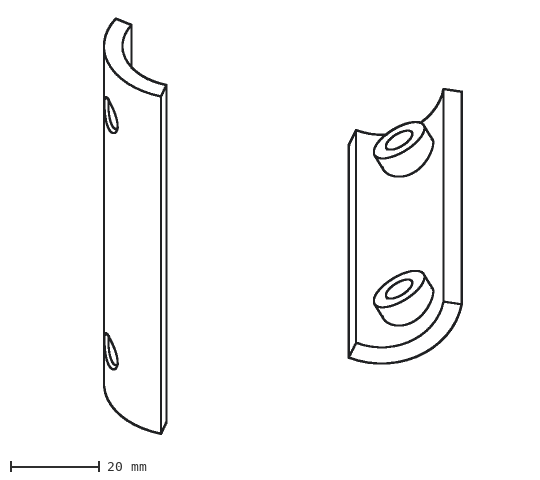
import cadquery as cq
import math

length = 100.0
outer_radius = 18.4
wall = 4.2
chord_width = 29.0
inner_radius = outer_radius - wall
half_angle = math.asin(chord_width / 2 / outer_radius)

boss_diameter = 13.0
overall_depth = 10.0
hole_diameter = 6.8
hole_chamfer = 0.8
hole_end_distance = 15.0
hole_heights = (hole_end_distance, length - hole_end_distance)

crown_y = -outer_radius
boss_top_y = crown_y + overall_depth


def arc_point(radius, angle):
    """Point on a circle about the tube axis, at an angle from -Y towards +X."""
    return (radius * math.sin(angle), -radius * math.cos(angle))


def cylinder_along_y(diameter, start_y, end_y, height):
    """Solid cylinder parallel to Y, centred at X = 0 and the given Z."""
    return cq.Workplane(
        cq.Solid.makeCylinder(
            diameter / 2,
            end_y - start_y,
            cq.Vector(0, start_y, height),
            cq.Vector(0, 1, 0),
        )
    )


def make_plate():
    return (
        cq.Workplane("XY")
        .moveTo(*arc_point(outer_radius, -half_angle))
        .threePointArc(arc_point(outer_radius, 0), arc_point(outer_radius, half_angle))
        .lineTo(*arc_point(inner_radius, half_angle))
        .threePointArc(arc_point(inner_radius, 0), arc_point(inner_radius, -half_angle))
        .close()
        .extrude(length)
    )


def add_bosses(body):
    root_y = crown_y + wall / 2
    for height in hole_heights:
        body = body.union(cylinder_along_y(boss_diameter, root_y, boss_top_y, height))
    return body


def cut_holes(body):
    for height in hole_heights:
        body = body.cut(cylinder_along_y(hole_diameter, crown_y, boss_top_y, height))
    return body


def chamfer_hole_mouths(body):
    reach = hole_diameter / 2 + hole_chamfer
    for height in hole_heights:
        mouth = cq.selectors.BoxSelector(
            (-reach, crown_y - wall / 2, height - reach),
            (reach, crown_y + wall / 2, height + reach),
            boundingbox=True,
        )
        body = body.edges(mouth).chamfer(hole_chamfer)
    return body


result = chamfer_hole_mouths(cut_holes(add_bosses(make_plate())))